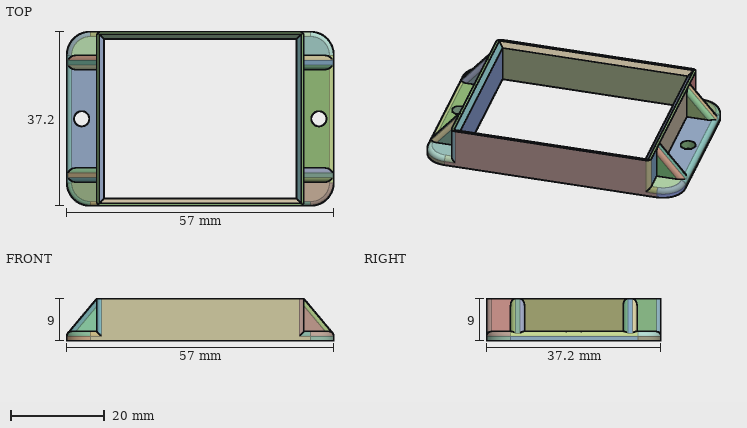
import cadquery as cq
import math

base_length = 57.0
body_width = 37.2
body_height = 9.0
base_thickness = 2.0
base_corner_radius = 5.0
edge_radius = 1.0

opening_length = 41.0
wall_thickness = 1.6
rim_chamfer = 1.0
frame_length = opening_length + 2 * wall_thickness
opening_width = body_width - 2 * wall_thickness

hole_diameter = 3.2
hole_x = (frame_length + base_length) / 4

rib_width = 3.0
rib_y = 12.0


def make_base():
    """Flat plate with rounded corners and a rounded top edge."""
    plate = cq.Workplane("XY").box(base_length, body_width, base_thickness, centered=(True, True, False))
    plate = plate.edges("|Z").fillet(base_corner_radius)
    return plate.faces(">Z").edges().fillet(edge_radius)


def make_frame_block():
    """Solid envelope of the frame with rounded vertical corners."""
    block = cq.Workplane("XY").box(frame_length, body_width, body_height, centered=(True, True, False))
    return block.edges("|Z").fillet(edge_radius)


def make_rib(side, y):
    """Triangular rib with rounded slope edges; side is +1 or -1 along X.

    The slope starts at the top of the frame and ends tangent to the rounded edge of the base.
    """
    wall_x = frame_length / 2
    round_x = base_length / 2 - edge_radius
    round_z = base_thickness - edge_radius
    run = round_x - wall_x
    drop = body_height - round_z
    slope_angle = math.atan2(drop, run) - math.asin(edge_radius / math.hypot(run, drop))
    toe_x = round_x + edge_radius * math.sin(slope_angle)
    toe_z = round_z + edge_radius * math.cos(slope_angle)
    profile = [
        (side * wall_x, round_z),
        (side * round_x, round_z),
        (side * toe_x, toe_z),
        (side * wall_x, body_height),
    ]
    rib = cq.Workplane("XZ", origin=(0, y + rib_width / 2, 0)).polyline(profile).close().extrude(rib_width)
    slope_middle = (side * (wall_x + toe_x) / 2, y, (body_height + toe_z) / 2)
    slope_face = rib.faces(cq.selectors.NearestToPointSelector(slope_middle))
    return slope_face.edges("not |Y").fillet(edge_radius)


def make_opening():
    """Through opening, flared at the top rim."""
    opening = cq.Workplane("XY").box(opening_length, opening_width, body_height, centered=(True, True, False))
    flare = (
        cq.Workplane("XY", origin=(0, 0, body_height - rim_chamfer))
        .rect(opening_length, opening_width)
        .workplane(offset=rim_chamfer)
        .rect(opening_length + 2 * rim_chamfer, opening_width + 2 * rim_chamfer)
        .loft(ruled=True)
    )
    return opening.union(flare)


def make_holes():
    """Mounting holes through both ears."""
    return (
        cq.Workplane("XY")
        .pushPoints([(-hole_x, 0), (hole_x, 0)])
        .circle(hole_diameter / 2)
        .extrude(base_thickness)
    )


result = make_base().union(make_frame_block())
for side in (-1, 1):
    for y in (-rib_y, rib_y):
        result = result.union(make_rib(side, y))
result = result.cut(make_opening()).cut(make_holes())